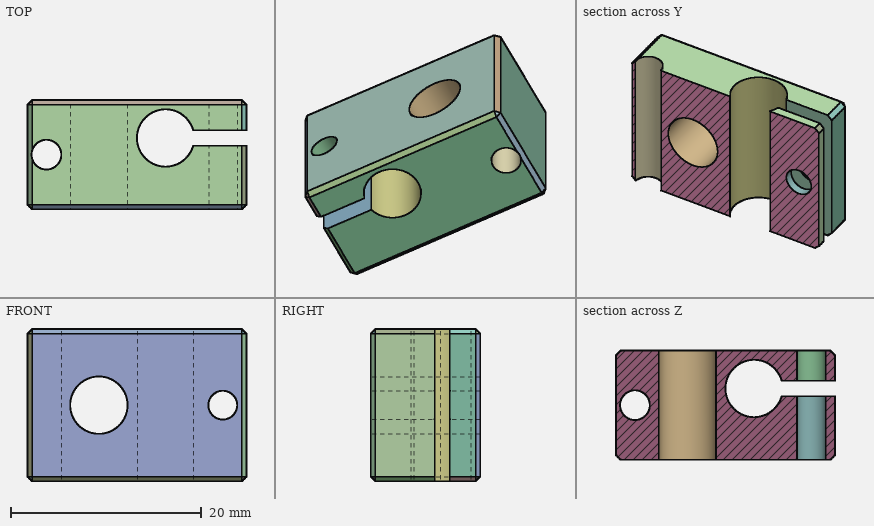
import cadquery as cq

LENGTH = 23.0
WIDTH = 11.5
HEIGHT = 16.0
EDGE_CHAMFER = 0.5

MAIN_BORE_DIAMETER = 6.0
MAIN_BORE_X = 7.5

CLAMP_BORE_DIAMETER = 6.0
CLAMP_BORE_X = 14.5
CLAMP_BORE_Y = 7.5
SLIT_WIDTH = 1.6

SCREW_HOLE_DIAMETER = 3.0
SCREW_HOLE_END_DISTANCE = 2.5
SCREW_HOLE_X = LENGTH - SCREW_HOLE_END_DISTANCE

SIDE_HOLE_DIAMETER = 3.1
SIDE_HOLE_X = 2.0


def make_block():
    """Block with one corner at the origin and every edge chamfered."""
    block = cq.Workplane("XY").box(LENGTH, WIDTH, HEIGHT, centered=False)
    return block.edges().chamfer(EDGE_CHAMFER)


def hole_along_y(x, diameter):
    """Through hole along Y at mid height."""
    plane = cq.Workplane("XZ").center(x, HEIGHT / 2)
    return plane.circle(diameter / 2).extrude(-WIDTH)


def hole_along_z(x, y, diameter):
    """Through hole along Z."""
    plane = cq.Workplane("XY").center(x, y)
    return plane.circle(diameter / 2).extrude(HEIGHT)


def clamp_slit():
    """Full-height slit from the clamp bore axis to the +X end."""
    slit_length = LENGTH - CLAMP_BORE_X
    slit = cq.Workplane("XY").box(slit_length, SLIT_WIDTH, HEIGHT, centered=(False, True, False))
    return slit.translate((CLAMP_BORE_X, CLAMP_BORE_Y, 0))


result = (
    make_block()
    .cut(hole_along_y(MAIN_BORE_X, MAIN_BORE_DIAMETER))
    .cut(hole_along_z(CLAMP_BORE_X, CLAMP_BORE_Y, CLAMP_BORE_DIAMETER))
    .cut(clamp_slit())
    .cut(hole_along_y(SCREW_HOLE_X, SCREW_HOLE_DIAMETER))
    .cut(hole_along_z(SIDE_HOLE_X, WIDTH / 2, SIDE_HOLE_DIAMETER))
)